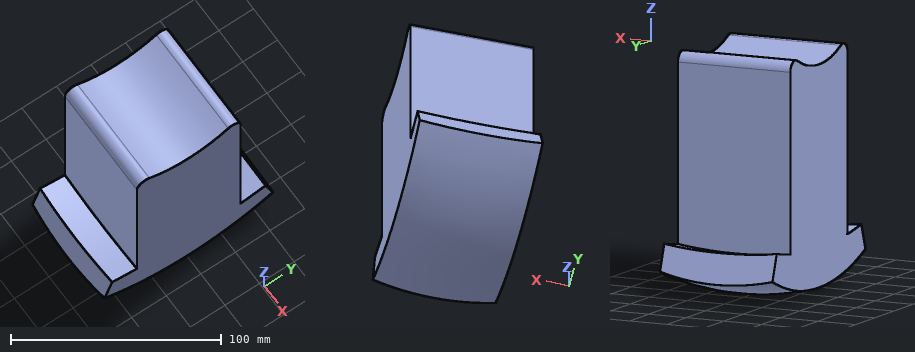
import cadquery as cq
import math

height = 117.7
width = 60.0
foot_length = 100.0

column_depth = 60.0
lip_radius = 5.0
saddle_radius = 50.0

sole_radius = 120.0
instep_radius = 223.6
foot_thickness = 20.8
end_slope = 19.0


def sphere(radius, bottom_z):
    """Sphere centred on the Z axis with its lowest point at bottom_z."""
    return cq.Workplane("XY").sphere(radius).translate((0, 0, bottom_z + radius))


def extrude_across(profile):
    """Extrude a closed YZ profile symmetrically over the part's width."""
    return profile.close().extrude(width / 2, both=True)


def make_column():
    half_depth = column_depth / 2
    lip_y = half_depth - lip_radius
    lip_z = height - lip_radius

    centre_distance = saddle_radius + lip_radius
    saddle_z = lip_z + math.sqrt(centre_distance**2 - lip_y**2)
    tangent_y = lip_y * saddle_radius / centre_distance
    tangent_z = lip_z + (saddle_z - lip_z) * lip_radius / centre_distance

    lip_mid = lip_radius * math.sqrt(0.5)

    return extrude_across(
        cq.Workplane("YZ")
        .moveTo(-half_depth, foot_thickness / 2)
        .lineTo(half_depth, foot_thickness / 2)
        .lineTo(half_depth, lip_z)
        .threePointArc((lip_y + lip_mid, lip_z + lip_mid), (tangent_y, tangent_z))
        .threePointArc((0, saddle_z - saddle_radius), (-tangent_y, tangent_z))
        .threePointArc((-lip_y - lip_mid, lip_z + lip_mid), (-half_depth, lip_z))
    )


def make_foot():
    half_length = foot_length / 2
    corner_z = sole_radius - math.sqrt(sole_radius**2 - half_length**2)
    block_top = height / 2
    taper = math.tan(math.radians(end_slope))
    bottom_y = half_length + corner_z * taper
    top_y = half_length - (block_top - corner_z) * taper

    block = extrude_across(
        cq.Workplane("YZ")
        .moveTo(-bottom_y, 0)
        .lineTo(bottom_y, 0)
        .lineTo(top_y, block_top)
        .lineTo(-top_y, block_top)
    )
    return block.cut(sphere(instep_radius, foot_thickness))


body = make_foot().union(make_column())
result = body.intersect(sphere(sole_radius, 0))